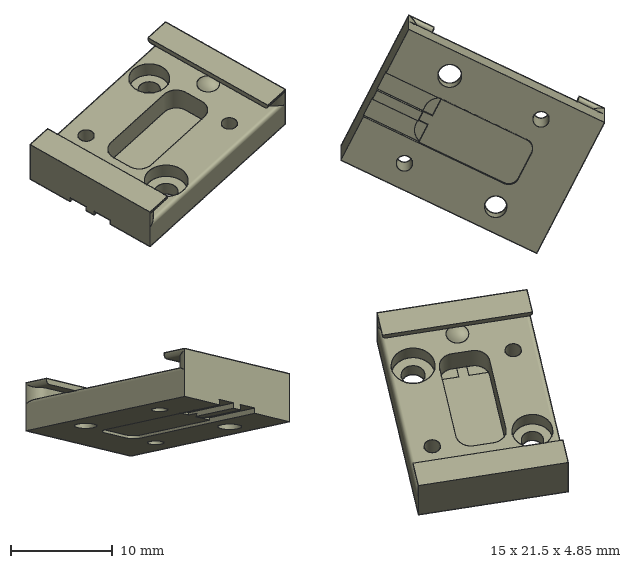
import cadquery as cq
import math

WIDTH = 15.0
LENGTH = 21.5
HEIGHT = 4.85

DECK_HEIGHT = 3.1
WALL_THICKNESS = 1.5
LIP_REACH = 2.8
LIP_THICKNESS = 0.55
WALL_END_RADIUS = WALL_THICKNESS
DECK_END_RADIUS = 0.4

HOLE_OFFSET = 5.0
COUNTERBORE_DEPTH = 1.6
LEFT_HOLE_DIAMETER = 2.2
LEFT_COUNTERBORE_DIAMETER = 4.0
RIGHT_HOLE_DIAMETER = 2.35
RIGHT_COUNTERBORE_DIAMETER = 4.3
PIN_HOLE_DIAMETER = 1.6

POCKET_WIDTH = 5.0
POCKET_LENGTH = 11.44
POCKET_CORNER_RADIUS = 1.5
POCKET_DEPTH = 2.52

DOME_OFFSET = 8.0
DOME_RADIUS = 1.12
DOME_HEIGHT = 0.4

RECESS_DEPTH = 0.3
RECESS_CORNER_RADIUS = 1.05
GROOVE_DEPTH = 0.54
GROOVE_GAP = 1.0


def flared_outline(plane, low, high, radius):
    """Strip along X from low to high, widening at both X ends by quarter circles of the radius."""
    end = WIDTH / 2
    start = end - radius
    rise = radius * (1 - math.sqrt(0.5))
    mid = end - rise
    return (
        cq.Workplane(plane)
        .moveTo(-start, low)
        .lineTo(start, low)
        .threePointArc((mid, low - rise), (end, low - radius))
        .lineTo(end, high + radius)
        .threePointArc((mid, high + rise), (start, high))
        .lineTo(-start, high)
        .threePointArc((-mid, high + rise), (-end, high + radius))
        .lineTo(-end, low - radius)
        .threePointArc((-mid, low - rise), (-start, low))
        .close()
    )


def channel():
    """Void between deck, walls and lips, with rounded mouths, plus the opening between the lips."""
    wall_face = LENGTH / 2 - WALL_THICKNESS
    plan = flared_outline("XY", -wall_face, wall_face, WALL_END_RADIUS).extrude(HEIGHT)
    profile = flared_outline("XZ", DECK_HEIGHT, HEIGHT - LIP_THICKNESS, DECK_END_RADIUS).extrude(
        LENGTH / 2, both=True
    )
    opening_height = HEIGHT - DECK_HEIGHT
    opening = cq.Workplane("XY", origin=(0, 0, DECK_HEIGHT)).box(
        WIDTH, LENGTH - 2 * LIP_REACH, opening_height, centered=(True, True, False)
    )
    return plan.intersect(profile).union(opening)


def rounded_pocket(bottom, height, corner_radius):
    """Rounded rectangular cutter of the pocket's plan size, rising from the bottom level."""
    return (
        cq.Workplane("XY", origin=(0, 0, bottom))
        .rect(POCKET_WIDTH, POCKET_LENGTH)
        .extrude(height)
        .edges("|Z")
        .fillet(corner_radius)
    )


def round_hole(x, y, diameter, bottom=0.0):
    """Vertical round cutter from the bottom level up to the deck."""
    return (
        cq.Workplane("XY", origin=(x, y, bottom))
        .circle(diameter / 2)
        .extrude(DECK_HEIGHT - bottom)
    )


def counterbored_hole(x, y, hole_diameter, counterbore_diameter):
    """Through hole with a flat-bottomed counterbore in the deck."""
    counterbore = round_hole(x, y, counterbore_diameter, DECK_HEIGHT - COUNTERBORE_DEPTH)
    return round_hole(x, y, hole_diameter).union(counterbore)


def groove(side):
    """Groove in the underside from the -Y face into the recess, past its rounded corner."""
    groove_width = (POCKET_WIDTH - GROOVE_GAP) / 2
    groove_length = (LENGTH - POCKET_LENGTH) / 2 + RECESS_CORNER_RADIUS
    center_x = side * (GROOVE_GAP + groove_width) / 2
    return cq.Workplane("XY", origin=(center_x, -LENGTH / 2, 0)).box(
        groove_width, groove_length, GROOVE_DEPTH, centered=(True, False, False)
    )


def dome(y):
    """Spherical cap standing on the deck."""
    sphere_radius = (DOME_RADIUS**2 + DOME_HEIGHT**2) / (2 * DOME_HEIGHT)
    center_height = DECK_HEIGHT + DOME_HEIGHT - sphere_radius
    sphere = cq.Workplane("XY").sphere(sphere_radius).translate((0, y, center_height))
    above_deck = cq.Workplane("XY", origin=(0, y, DECK_HEIGHT)).box(
        2 * DOME_RADIUS, 2 * DOME_RADIUS, DOME_HEIGHT, centered=(True, True, False)
    )
    return sphere.intersect(above_deck)


body = cq.Workplane("XY").box(WIDTH, LENGTH, HEIGHT, centered=(True, True, False))
body = body.cut(channel())

body = body.cut(rounded_pocket(DECK_HEIGHT - POCKET_DEPTH, POCKET_DEPTH, POCKET_CORNER_RADIUS))
body = body.cut(
    counterbored_hole(-HOLE_OFFSET, HOLE_OFFSET, LEFT_HOLE_DIAMETER, LEFT_COUNTERBORE_DIAMETER)
)
body = body.cut(
    counterbored_hole(HOLE_OFFSET, -HOLE_OFFSET, RIGHT_HOLE_DIAMETER, RIGHT_COUNTERBORE_DIAMETER)
)
for side in (-1, 1):
    body = body.cut(round_hole(side * HOLE_OFFSET, side * HOLE_OFFSET, PIN_HOLE_DIAMETER))

body = body.cut(rounded_pocket(0, RECESS_DEPTH, RECESS_CORNER_RADIUS))
for side in (-1, 1):
    body = body.cut(groove(side))

for side in (-1, 1):
    body = body.union(dome(side * DOME_OFFSET))

result = body